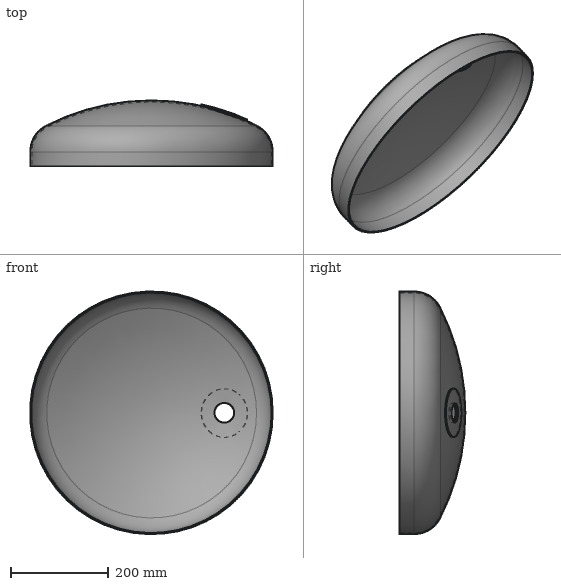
import cadquery as cq
import math

outer_radius = 250.0
total_height = 136.0
crown_radius = 475.0
knuckle_radius = 60.5
wall = 3.0

pad_diameter = 100.0
pad_thickness = 3.0
hole_diameter = 40.0
hole_offset = 150.0

crown_center_y = total_height - crown_radius
knuckle_center_x = outer_radius - knuckle_radius
seam_angle = math.asin(knuckle_center_x / (crown_radius - knuckle_radius))
flange_height = crown_center_y + (crown_radius - knuckle_radius) * math.cos(seam_angle)

pad_tilt = math.asin(hole_offset / crown_radius)


def polar_point(center_x, center_y, radius, angle):
    """Point on an arc, with the angle measured from +Y toward +X."""
    return center_x + radius * math.sin(angle), center_y + radius * math.cos(angle)


def crown_point(inset, angle):
    return polar_point(0, crown_center_y, crown_radius - inset, angle)


def knuckle_point(inset, angle):
    return polar_point(knuckle_center_x, flange_height, knuckle_radius - inset, angle)


def make_hole_cutter():
    """Cylinder parallel to Y, through the crown and the pad."""
    cylinder = cq.Solid.makeCylinder(
        hole_diameter / 2, total_height, cq.Vector(hole_offset, 0, 0), cq.Vector(0, 1, 0)
    )
    return cq.Workplane(obj=cylinder)


def make_head():
    knuckle_middle = (seam_angle + math.pi / 2) / 2
    profile = (
        cq.Workplane("XY")
        .moveTo(outer_radius, 0)
        .lineTo(outer_radius, flange_height)
        .threePointArc(knuckle_point(0, knuckle_middle), knuckle_point(0, seam_angle))
        .threePointArc(crown_point(0, seam_angle / 2), crown_point(0, 0))
        .lineTo(*crown_point(wall, 0))
        .threePointArc(crown_point(wall, seam_angle / 2), crown_point(wall, seam_angle))
        .threePointArc(knuckle_point(wall, knuckle_middle), knuckle_point(wall, math.pi / 2))
        .lineTo(outer_radius - wall, 0)
        .close()
    )
    head = profile.revolve(360, (0, 0, 0), (0, 1, 0))
    return head.cut(make_hole_cutter())


def make_pad():
    """Disc cut from a spherical shell that fits the outside of the crown."""
    crown_center = cq.Vector(0, crown_center_y, 0)
    normal = cq.Vector(math.sin(pad_tilt), math.cos(pad_tilt), 0)
    blank_length = crown_radius + 2 * pad_thickness
    blank = cq.Solid.makeCylinder(pad_diameter / 2, blank_length, crown_center, normal)
    outside = cq.Workplane("XY").sphere(crown_radius + pad_thickness).translate(crown_center)
    inside = cq.Workplane("XY").sphere(crown_radius).translate(crown_center)
    pad = cq.Workplane(obj=blank).intersect(outside).cut(inside)
    return pad.cut(make_hole_cutter())


head = make_head()
pad = make_pad()

result = cq.Compound.makeCompound([head.val(), pad.val()])